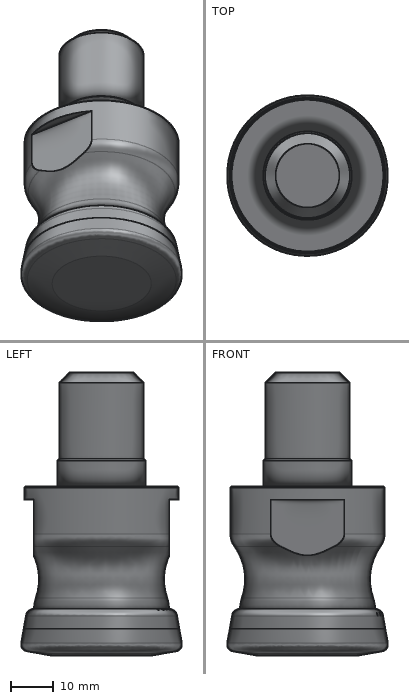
import cadquery as cq
import math

total_height = 67.0

stud_radius = 20.0 / 2
stud_chamfer = 2.5
shoulder_radius = 21.0 / 2
shoulder_top = 46.55
shoulder_chamfer = shoulder_radius - stud_radius

head_radius = 36.5 / 2
head_top = 40.05
head_chamfer = 0.35
head_straight_bottom = 28.9
head_round = 5.0
across_flats = 32.1
flat_top = 36.9

waist_radius = 14.8
waist_height = 18.1
collar_radius = across_flats / 2
collar_round = 9.4

foot_top = 11.1
split_height = 6.35
foot_split_radius = 18.4
foot_taper_angle = 10
foot_taper = math.tan(math.radians(foot_taper_angle))
foot_top_round = 2.0
pad_face_radius = 11.7
pad_face_angle = 10
pad_face_slope = math.tan(math.radians(pad_face_angle))
pad_edge_round = 1.75


def foot_radius(height):
    """Radius of the tapered foot side at a given height."""
    return foot_split_radius - (height - split_height) * foot_taper


def revolve_profile(profile):
    """Turn a closed (radius, height) profile around the Z axis."""
    return profile.close().revolve(360, (0, 0, 0), (0, 1, 0))


def point_toward(start, end, distance):
    """Point at a distance from start on the line to end."""
    length = math.dist(start, end)
    return tuple(a + (b - a) * distance / length for a, b in zip(start, end))


def turned_shank():
    """Stud, head, waist and collar; all profile arcs join tangentially."""
    head_center = (head_radius - head_round, head_straight_bottom)
    rise = head_straight_bottom - waist_height
    offset = waist_radius - head_center[0]
    waist_round = (rise**2 + offset**2 - head_round**2) / (2 * (head_round - offset))
    waist_center = (waist_radius + waist_round, waist_height)
    collar_center_radius = collar_radius - collar_round
    drop = math.sqrt((waist_round + collar_round) ** 2 - (waist_center[0] - collar_center_radius) ** 2)
    collar_center = (collar_center_radius, waist_height - drop)

    head_joint = point_toward(waist_center, head_center, waist_round)
    collar_joint = point_toward(waist_center, collar_center, waist_round)
    head_end = (head_radius, head_straight_bottom)
    collar_end = (collar_radius, collar_center[1])
    head_chord_middle = ((head_end[0] + head_joint[0]) / 2, (head_end[1] + head_joint[1]) / 2)
    collar_chord_middle = ((collar_end[0] + collar_joint[0]) / 2, (collar_end[1] + collar_joint[1]) / 2)
    head_arc_middle = point_toward(head_center, head_chord_middle, head_round)
    collar_arc_middle = point_toward(collar_center, collar_chord_middle, collar_round)

    profile = (
        cq.Workplane("XZ")
        .moveTo(0, split_height)
        .lineTo(collar_radius, split_height)
        .lineTo(*collar_end)
        .threePointArc(collar_arc_middle, collar_joint)
        .threePointArc((waist_radius, waist_height), head_joint)
        .threePointArc(head_arc_middle, head_end)
        .lineTo(head_radius, head_top - head_chamfer)
        .lineTo(head_radius - head_chamfer, head_top)
        .lineTo(shoulder_radius, head_top)
        .lineTo(shoulder_radius, shoulder_top - shoulder_chamfer)
        .lineTo(stud_radius, shoulder_top)
        .lineTo(stud_radius, total_height - stud_chamfer)
        .lineTo(stud_radius - stud_chamfer, total_height)
        .lineTo(0, total_height)
    )
    return revolve_profile(profile)


def holder_flange():
    """Upper part of the tapered foot, with a rounded top edge."""
    profile = (
        cq.Workplane("XZ")
        .moveTo(0, split_height)
        .lineTo(foot_split_radius, split_height)
        .lineTo(foot_radius(foot_top), foot_top)
        .lineTo(0, foot_top)
    )
    return revolve_profile(profile).faces(">Z").edges().fillet(foot_top_round)


def flat_cutter(side):
    """Block that removes the material outside one wrench flat; side is -1 or 1."""
    depth = head_radius - across_flats / 2
    return (
        cq.Workplane("XY")
        .box(2 * head_radius, depth, flat_top - waist_height)
        .translate((0, side * (across_flats + depth) / 2, (flat_top + waist_height) / 2))
    )


def make_holder():
    holder = turned_shank()
    for side in (-1, 1):
        holder = holder.cut(flat_cutter(side))
    return holder.union(holder_flange())


def make_pad():
    """Lower part of the foot: tapered side, rounded edge and shallow conical underside."""
    edge_height = (foot_radius(0) - pad_face_radius) / (1 / pad_face_slope + foot_taper)
    profile = (
        cq.Workplane("XZ")
        .lineTo(pad_face_radius, 0)
        .lineTo(foot_radius(edge_height), edge_height)
        .lineTo(foot_split_radius, split_height)
        .lineTo(0, split_height)
    )
    corner = cq.selectors.RadiusNthSelector(-1)
    return revolve_profile(profile).edges("%CIRCLE").edges(corner).fillet(pad_edge_round)


holder = make_holder()
pad = make_pad()
result = cq.Compound.makeCompound([holder.val(), pad.val()])